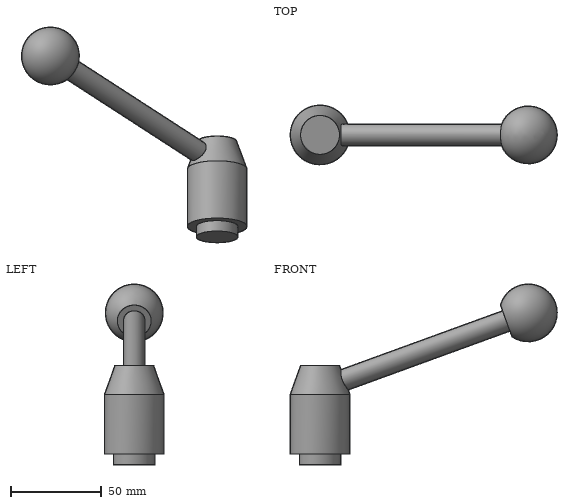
import cadquery as cq
import math

foot_diameter = 23.0
foot_height = 6.0
hub_diameter = 33.0
hub_straight_height = 33.0
hub_top_diameter = 21.5
hub_height = 55.0

lever_diameter = 12.0
lever_angle = 20.0

ball_diameter = 32.0
ball_flat_diameter = 18.7
ball_center_x = 115.08
ball_center_z = 83.95

lever_length = ball_center_x / math.cos(math.radians(lever_angle))
lever_start_z = ball_center_z - ball_center_x * math.tan(math.radians(lever_angle))


def make_hub():
    """Foot, straight body and tapered top revolved about Z."""
    shoulder_z = foot_height + hub_straight_height
    return (
        cq.Workplane("XZ")
        .moveTo(0, 0)
        .lineTo(foot_diameter / 2, 0)
        .lineTo(foot_diameter / 2, foot_height)
        .lineTo(hub_diameter / 2, foot_height)
        .lineTo(hub_diameter / 2, shoulder_z)
        .lineTo(hub_top_diameter / 2, hub_height)
        .lineTo(0, hub_height)
        .close()
        .revolve(360, (0, 0, 0), (0, 1, 0))
    )


def make_lever():
    """Rod and flatted ball, revolved about X and then tilted up from the hub axis."""
    lever_radius = lever_diameter / 2
    ball_radius = ball_diameter / 2
    flat_radius = ball_flat_diameter / 2
    flat_x = lever_length - math.sqrt(ball_radius**2 - flat_radius**2)
    return (
        cq.Workplane("XZ")
        .moveTo(0, 0)
        .lineTo(0, lever_radius)
        .lineTo(flat_x, lever_radius)
        .lineTo(flat_x, flat_radius)
        .threePointArc((lever_length, ball_radius), (lever_length + ball_radius, 0))
        .close()
        .revolve(360, (0, 0, 0), (1, 0, 0))
        .rotate((0, 0, 0), (0, 1, 0), -lever_angle)
        .translate((0, 0, lever_start_z))
    )


result = make_hub().union(make_lever())